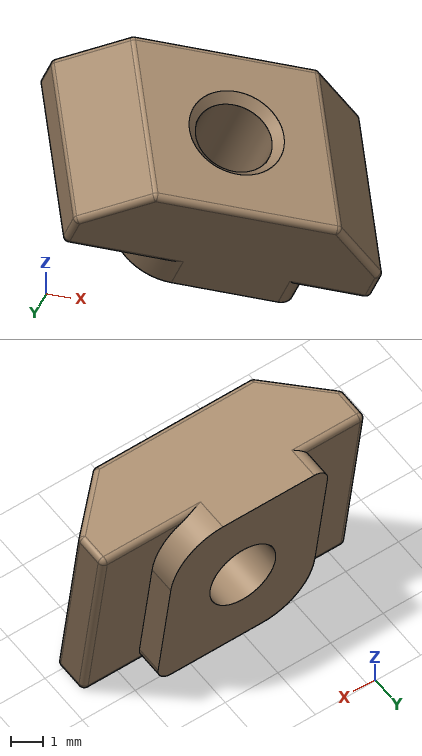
import cadquery as cq
import math

length = 10.74
depth = 4.25
height = 6.0

slant = math.tan(math.radians(7.4))
body_depth = 3.25
bevel = 2.0
edge_radius = 0.2

boss_half_width = 2.9
boss_small_radius = 0.5
boss_large_radius = 2.0

hole_diameter = 2.5
countersink_diameter = 3.1
countersink_depth = (countersink_diameter - hole_diameter) / 2

half_height = height / 2


def shift_at(z):
    """Sideways shift of the slanted ends at height z."""
    return -slant * z


def make_body():
    corner_x = length / 2 - edge_radius
    wall_offset = edge_radius * math.hypot(1, slant)
    half_length = corner_x + wall_offset + shift_at(half_height - edge_radius)
    profile = [
        (-half_length, body_depth),
        (-half_length, bevel),
        (-half_length + bevel, 0),
        (half_length - bevel, 0),
        (half_length, bevel),
        (half_length, body_depth),
    ]
    bottom_shift = shift_at(-half_height)
    top_shift = shift_at(half_height)
    path = cq.Workplane("XZ").moveTo(bottom_shift, -half_height).lineTo(top_shift, half_height)
    body = (
        cq.Workplane("XY", origin=(bottom_shift, 0, -half_height))
        .polyline(profile)
        .close()
        .sweep(path)
    )
    return body.edges().fillet(edge_radius)


def make_boss():
    top_shift = shift_at(half_height)
    corners = [
        (-boss_half_width + top_shift, half_height),
        (boss_half_width + top_shift, half_height),
        (boss_half_width - top_shift, -half_height),
        (-boss_half_width - top_shift, -half_height),
    ]
    start = body_depth - edge_radius
    boss = (
        cq.Workplane("XZ", origin=(0, start, 0))
        .polyline(corners)
        .close()
        .extrude(start - depth)
    )

    def round_corners(solid, corner_pair, radius):
        for x, z in corner_pair:
            solid = solid.edges(cq.NearestToPointSelector((x, (start + depth) / 2, z))).fillet(radius)
        return solid

    boss = round_corners(boss, corners[0::2], boss_small_radius)
    return round_corners(boss, corners[1::2], boss_large_radius)


def make_hole():
    hole_radius = hole_diameter / 2
    half_section = [
        (0, 0),
        (countersink_diameter / 2, 0),
        (hole_radius, countersink_depth),
        (hole_radius, depth),
        (0, depth),
    ]
    return cq.Workplane("XY").polyline(half_section).close().revolve(360, (0, 0), (0, 1))


result = make_body().union(make_boss()).cut(make_hole())